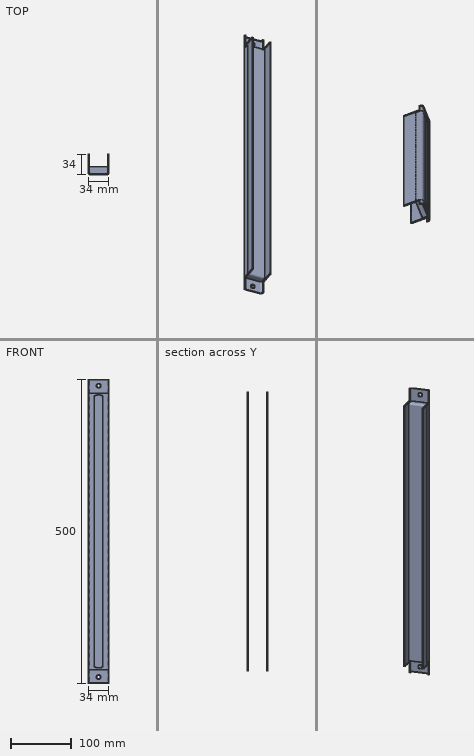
import cadquery as cq

LENGTH = 500.0
WIDTH = 34.0
DEPTH = 34.0
SHEET = 1.5
BEND_RADIUS = 4.0

TAB_LENGTH = 20.5
TAB_DEPTH = 6.0
WALL_CORNER_RADIUS = 2.0

HOLE_DIAMETER = 6.5
HOLE_INSET = 10.0
WINDOW_WIDTH = 13.5
WINDOW_LENGTH = 450.0
WINDOW_END_RISE = 2.0

INSERT_BACK = 13.5
INSERT_FILLET = 3.0
INSERT_LENGTH = WINDOW_LENGTH + 5.0


def centered_block(width, front, back, length):
    """Block centred on X and Z, reaching from front to back along Y."""
    block = cq.Workplane("XY").box(width, back - front, length)
    return block.translate((0, (front + back) / 2, 0))


def make_channel():
    outer = centered_block(WIDTH, 0, DEPTH, LENGTH)
    outer = outer.faces("<Y").edges("|Z").fillet(BEND_RADIUS)
    inner = centered_block(WIDTH - 2 * SHEET, SHEET, DEPTH, LENGTH)
    inner = inner.faces("<Y").edges("|Z").fillet(BEND_RADIUS - SHEET)
    return outer.cut(inner)


def trim_end_walls(channel):
    tabs = centered_block(WIDTH, 0, TAB_DEPTH, LENGTH)
    walls = centered_block(WIDTH, 0, DEPTH, LENGTH - 2 * TAB_LENGTH)
    walls = walls.faces(">Y").edges("|X").fillet(WALL_CORNER_RADIUS)
    return channel.intersect(tabs.union(walls))


def make_window():
    """Long opening with straight sides and shallow arched ends."""
    half_width = WINDOW_WIDTH / 2
    tip_z = WINDOW_LENGTH / 2
    side_z = tip_z - WINDOW_END_RISE
    return (
        cq.Workplane("XZ")
        .moveTo(-half_width, -side_z)
        .lineTo(-half_width, side_z)
        .threePointArc((0, tip_z), (half_width, side_z))
        .lineTo(half_width, -side_z)
        .threePointArc((0, -tip_z), (-half_width, -side_z))
        .close()
        .extrude(-SHEET)
    )


def make_screw_holes():
    hole_z = LENGTH / 2 - HOLE_INSET
    return (
        cq.Workplane("XZ")
        .pushPoints([(0, -hole_z), (0, hole_z)])
        .circle(HOLE_DIAMETER / 2)
        .extrude(-SHEET)
    )


def make_insert():
    bar = centered_block(WIDTH - 2 * SHEET, SHEET, INSERT_BACK, INSERT_LENGTH)
    return bar.faces(">Y").edges("|X").fillet(INSERT_FILLET)


channel = trim_end_walls(make_channel())
channel = channel.cut(make_window()).cut(make_screw_holes())
result = channel.union(make_insert())